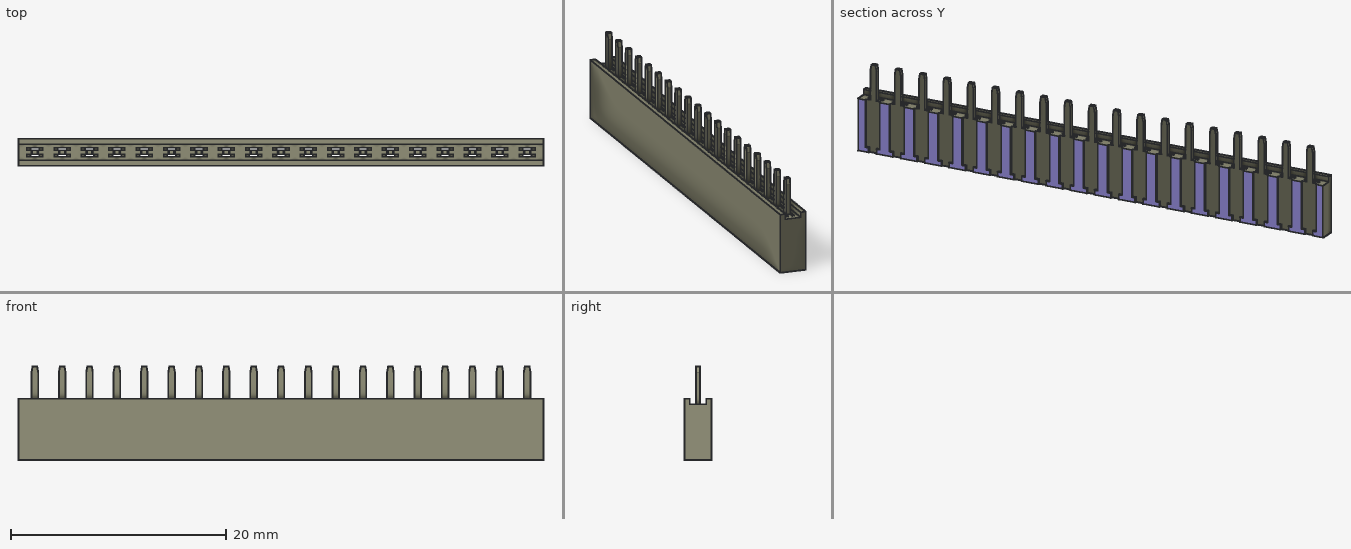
import cadquery as cq

pin_count = 19
pitch = 2.54
end_allowance = 0.25
housing_length = pin_count * pitch + 2 * end_allowance
housing_width = 2.54
housing_height = 5.7
wall_thickness = 0.52
groove_depth = 0.5
groove_width = housing_width - 2 * wall_thickness
floor_height = housing_height - groove_depth

overall_height = 8.7
pin_width = 0.64
pin_thickness = 0.4
tip_height = 0.55
tip_inset = 0.1

cavity_length = 1.5
cavity_width = 0.8
web_thickness = pin_thickness
opening_length = 0.8
bottom_thickness = 0.5

pin_positions = [((i - (pin_count - 1) / 2) * pitch, 0) for i in range(pin_count)]


def make_housing():
    """Bar standing on Z = 0, grooved from end to end."""
    bar = cq.Workplane("XY").box(
        housing_length, housing_width, housing_height, centered=(True, True, False)
    )
    groove = (
        cq.Workplane("XY")
        .workplane(offset=floor_height)
        .box(housing_length, groove_width, groove_depth, centered=(True, True, False))
    )
    return bar.cut(groove)


def slot_pairs(length, bottom, top):
    """Thin blocks in front of and behind every pin, leaving a web in line with the pins."""
    slot_width = (cavity_width - web_thickness) / 2
    slot_offset = (web_thickness + slot_width) / 2
    centers = [(x, y + side * slot_offset) for x, y in pin_positions for side in (-1, 1)]
    return (
        cq.Workplane("XY")
        .workplane(offset=bottom)
        .pushPoints(centers)
        .rect(length, slot_width)
        .extrude(top - bottom)
    )


def cut_slots(housing):
    """Cut the cavities down from the groove floor, then their openings through the underside."""
    cavities = slot_pairs(cavity_length, bottom_thickness, floor_height)
    openings = slot_pairs(opening_length, 0, bottom_thickness)
    return housing.cut(cavities).cut(openings)


def make_pin(center_x):
    """Pin rising from the groove floor, drawn as an XZ profile."""
    half_width = pin_width / 2
    tip_half_width = half_width - tip_inset
    shoulder_height = overall_height - tip_height
    return (
        cq.Workplane("XZ")
        .moveTo(center_x - half_width, floor_height)
        .lineTo(center_x + half_width, floor_height)
        .lineTo(center_x + half_width, shoulder_height)
        .lineTo(center_x + tip_half_width, overall_height)
        .lineTo(center_x - tip_half_width, overall_height)
        .lineTo(center_x - half_width, shoulder_height)
        .close()
        .extrude(pin_thickness / 2, both=True)
    )


result = cut_slots(make_housing())
for pin_x, _ in pin_positions:
    result = result.union(make_pin(pin_x))